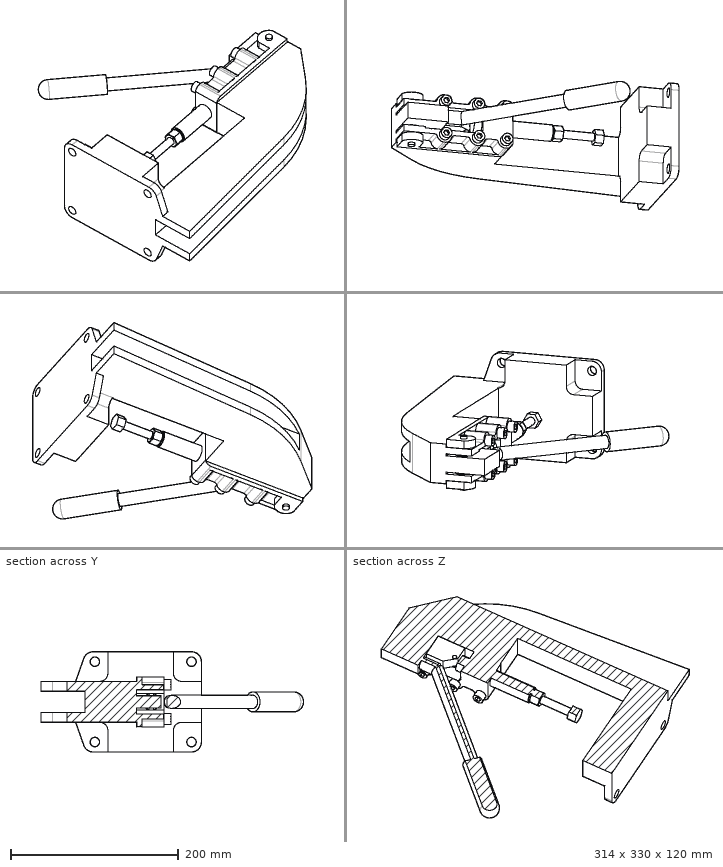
import cadquery as cq
import math


OVERLAP = 1.0

top_y = 330.0
head_bottom_y = 194.5
base_top_y = 40.0
flange_thickness = 10.0

frame_thickness = 49.0
frame_back_bottom_x = 132.0
frame_back_slope = math.radians(4.1)
frame_chamfer_top_x = 37.5
frame_back_radius = 150.0
throat_x = 60.0
back_slot_width = 25.0
back_slot_start_x = 79.5

base_left_x = -60.0
base_width = 120.0
block_left_x = -26.5
block_right_x = 52.0
block_fillet = 9.5
flange_corner_x = 78.0
flange_neck_x = 90.5
flange_corner_radius = 12.0
mount_hole_diameter = 11.0
mount_hole_xs = (base_left_x + flange_corner_radius, 67.5)
mount_hole_z = base_width / 2 - flange_corner_radius

bracket_front_x = -15.0
bracket_bottom_y = 194.0
bracket_back_x = 17.5
bracket_body_thickness = 41.0
bracket_width = 60.0
rear_lip_x = 11.0
lip_top_y = top_y - 1.0

pivot_x = 0.0
pivot_y = 316.0
pivot_pin_radius = 4.0
pivot_pin_length = 66.0
ear_radius = 14.0
ear_half_height = lip_top_y - pivot_y
pivot_hub_radius = 10.0

bolt_ys = (279.0, 238.0, 203.0)
bolt_z = bracket_body_thickness / 2
boss_radius = 9.6
boss_foot_half_width = 12.6
bolt_head_diameter = 13.0
bolt_head_height = 8.5
bolt_socket_flats = 6.0
bolt_socket_depth = 4.0

channel_bottom_y = 231.0
channel_width = 28.5
channel_end_chamfer_y = 3.0
channel_end_width = 19.6
ear_channel_width = 24.8

lever_front_x = -32.0
lever_bottom_y = 279.5
lever_thickness = 20.0
link_front_x = -12.0
link_thickness = 15.0
link_taper_y = 257.0
link_bottom_y = 243.0
upper_link_pin_y = 288.0
upper_link_pin_radius = 4.0
upper_link_pin_length = 22.0
lower_link_pin_y = 247.5
lower_link_pin_radius = 2.6
lower_link_pin_length = 20.0
rod_radius = 8.0
rod_bend_x = -21.5
rod_bend_y = 259.5
handle_angle = math.radians(45.9)
handle_length = 213.4
grip_length = 70.0
grip_radius = 12.0

ram_radius = 10.0
ram_top_y = 240.5
ram_bottom_y = 142.0
collar_height = 1.5
collar_radius = 8.5
screw_radius = 4.9
hex_corner_diameter = 19.4
nut_bottom_y = 128.5
nut_chamfer_height = 1.0
nut_chamfer_width = 1.7
screw_head_top_y = 89.0
screw_head_bottom_y = 78.3


def centred_box(x_range, y_range, thickness):
    """Axis-aligned box between limits in X and Y, centred on the Z = 0 plane."""
    size_x = x_range[1] - x_range[0]
    size_y = y_range[1] - y_range[0]
    block = cq.Workplane("XY").box(size_x, size_y, thickness, centered=(False, False, True))
    return block.translate((x_range[0], y_range[0], 0))


def y_plane(x, y, z):
    """Work plane at the given point facing -Y, with its local axes along X and Z."""
    return cq.Workplane("XZ", origin=(x, y, z))


def y_cylinder(radius, bottom_y, upper_y, x=0.0):
    """Cylinder about an axis parallel to Y in the Z = 0 plane."""
    return y_plane(x, upper_y, 0).circle(radius).extrude(upper_y - bottom_y)


def z_cylinder(radius, x, y, length):
    """Cylinder parallel to Z, centred on the Z = 0 plane."""
    return cq.Workplane("XY").center(x, y).circle(radius).extrude(length / 2, both=True)


def back_x(y):
    """X of the sloping back face at height y."""
    return frame_back_bottom_x - y * math.tan(frame_back_slope)


def make_frame():
    """C-shaped frame plate, before its back slot is cut."""
    slope = math.tan(frame_back_slope)
    corner_y = (frame_chamfer_top_x + top_y - frame_back_bottom_x) / (1 - slope)
    corner_x = back_x(corner_y)
    turn = math.pi / 4 - frame_back_slope
    tangent = frame_back_radius * math.tan(turn / 2)
    arc_start = (
        corner_x + tangent * math.sin(frame_back_slope),
        corner_y - tangent * math.cos(frame_back_slope),
    )
    arc_end = (corner_x - tangent * math.sqrt(0.5), corner_y + tangent * math.sqrt(0.5))
    corner_gap = frame_back_radius / math.cos(turn / 2) - frame_back_radius
    middle_angle = (math.pi / 4 + frame_back_slope) / 2
    arc_middle = (
        corner_x - corner_gap * math.cos(middle_angle),
        corner_y - corner_gap * math.sin(middle_angle),
    )
    outline = (
        cq.Workplane("XY")
        .moveTo(base_left_x, 0)
        .lineTo(frame_back_bottom_x, 0)
        .lineTo(*arc_start)
        .threePointArc(arc_middle, arc_end)
        .lineTo(frame_chamfer_top_x, top_y)
        .lineTo(bracket_back_x, top_y)
        .lineTo(bracket_back_x, head_bottom_y)
        .lineTo(throat_x, head_bottom_y)
        .lineTo(throat_x, base_top_y)
        .lineTo(base_left_x, base_top_y)
        .close()
    )
    return outline.extrude(frame_thickness / 2, both=True)


def make_base_block():
    """Wide block across the base, blended into the frame sides."""
    frame_z = frame_thickness / 2
    block = centred_box((block_left_x, block_right_x), (0, base_top_y), base_width)
    for side_x, outward in ((block_left_x, -1), (block_right_x, 1)):
        for side_z in (-1, 1):
            foot_z = side_z * frame_z
            blend = (
                y_plane(side_x, base_top_y, 0)
                .moveTo(-outward * OVERLAP, foot_z - side_z * OVERLAP)
                .lineTo(outward * block_fillet, foot_z - side_z * OVERLAP)
                .lineTo(outward * block_fillet, foot_z)
                .radiusArc((0, foot_z + side_z * block_fillet), outward * side_z * block_fillet)
                .lineTo(-outward * OVERLAP, foot_z + side_z * block_fillet)
                .close()
                .extrude(base_top_y)
            )
            block = block.union(blend)
    return block


def make_flange():
    """Mounting flange with rounded corners, narrowing to the frame at the back."""
    half_width = base_width / 2
    neck_z = frame_thickness / 2
    outline = [
        (base_left_x, -half_width),
        (flange_corner_x, -half_width),
        (flange_neck_x, -neck_z),
        (flange_neck_x, neck_z),
        (flange_corner_x, half_width),
        (base_left_x, half_width),
    ]
    corners = cq.selectors.BoxSelector(
        (base_left_x - OVERLAP, -OVERLAP, -half_width - OVERLAP),
        (flange_corner_x + OVERLAP, flange_thickness + OVERLAP, half_width + OVERLAP),
    )
    flange = y_plane(0, flange_thickness, 0).polyline(outline).close().extrude(flange_thickness)
    return flange.edges("|Y").edges(corners).fillet(flange_corner_radius)


def make_mount_holes():
    """Cutters for the four mounting holes, through the whole base."""
    points = [(x, side * mount_hole_z) for x in mount_hole_xs for side in (-1, 1)]
    return (
        y_plane(0, base_top_y, 0)
        .pushPoints(points)
        .circle(mount_hole_diameter / 2)
        .extrude(base_top_y)
    )


def make_boss(bolt_y):
    """Pair of rounded bosses over one bolt row, blended into the body by tangent fillets."""
    foot = boss_foot_half_width
    fillet_radius = (foot**2 - boss_radius**2) / (2 * boss_radius)
    tangent_share = boss_radius / (boss_radius + fillet_radius)
    tangent_y = foot * tangent_share
    tangent_z = fillet_radius * tangent_share
    half = (
        cq.Workplane("YZ", origin=(bracket_front_x, bolt_y, bolt_z))
        .moveTo(-foot, -OVERLAP)
        .lineTo(-foot, 0)
        .radiusArc((-tangent_y, tangent_z), -fillet_radius)
        .threePointArc((0, boss_radius), (tangent_y, tangent_z))
        .radiusArc((foot, 0), -fillet_radius)
        .lineTo(foot, -OVERLAP)
        .close()
        .extrude(bracket_back_x - bracket_front_x)
    )
    return half.union(half.mirror("XY"))


def make_ears():
    """Rounded ears around the pivot pin, running back to the rear lip."""
    disc = z_cylinder(ear_radius, pivot_x, pivot_y, bracket_width)
    arm = centred_box((pivot_x, bracket_back_x), (pivot_y - ear_radius, top_y), bracket_width)
    band = centred_box(
        (bracket_front_x, bracket_back_x),
        (pivot_y - ear_half_height, pivot_y + ear_half_height),
        bracket_width,
    )
    return disc.union(arm).intersect(band)


def make_bracket():
    """Bracket body, rear lips, ears and bosses; the last bosses round the bottom corners."""
    x_range = (bracket_front_x, bracket_back_x)
    y_range = (bracket_bottom_y, top_y)
    body = centred_box(x_range, y_range, bracket_body_thickness)
    lips = centred_box((rear_lip_x, bracket_back_x), (bolt_ys[-1], lip_top_y), bracket_width)
    bracket = body.union(lips).union(make_ears())
    for bolt_y in bolt_ys:
        bracket = bracket.union(make_boss(bolt_y))
    envelope = centred_box(x_range, y_range, bracket_width)
    return bracket.intersect(envelope).cut(make_channel())


def make_channel():
    """Cutter for the channel: narrow between the ears, with a tapered bottom end."""
    half_width = channel_width / 2
    half_end = channel_end_width / 2
    half_ear = ear_channel_width / 2
    ear_bottom_y = pivot_y - ear_half_height
    taper_y = channel_bottom_y + channel_end_chamfer_y
    outline = [
        (channel_bottom_y, -half_end),
        (taper_y, -half_width),
        (ear_bottom_y, -half_width),
        (ear_bottom_y, -half_ear),
        (top_y, -half_ear),
        (top_y, half_ear),
        (ear_bottom_y, half_ear),
        (ear_bottom_y, half_width),
        (taper_y, half_width),
        (channel_bottom_y, half_end),
    ]
    return (
        cq.Workplane("YZ", origin=(bracket_front_x, 0, 0))
        .polyline(outline)
        .close()
        .extrude(bracket_back_x - bracket_front_x)
    )


def make_bolt_heads():
    """Socket heads of the six bracket bolts."""
    points = [(y, side * bolt_z) for y in bolt_ys for side in (-1, 1)]
    head_plane = cq.Workplane("YZ", origin=(bracket_front_x - bolt_head_height, 0, 0))
    socket_corner_diameter = bolt_socket_flats / math.cos(math.pi / 6)
    heads = head_plane.pushPoints(points).circle(bolt_head_diameter / 2).extrude(bolt_head_height)
    sockets = (
        head_plane.pushPoints(points).polygon(6, socket_corner_diameter).extrude(bolt_socket_depth)
    )
    return heads.cut(sockets)


def make_link():
    """Link between the lever block and the ram, tapered towards its lower pin."""
    outline = [
        (link_front_x, lever_bottom_y),
        (link_front_x, link_taper_y),
        (pivot_x, link_bottom_y),
        (bracket_back_x, link_bottom_y),
        (bracket_back_x, lever_bottom_y),
    ]
    link = cq.Workplane("XY").polyline(outline).close().extrude(link_thickness / 2, both=True)
    pin = z_cylinder(lower_link_pin_radius, pivot_x, lower_link_pin_y, lower_link_pin_length)
    return link.union(pin)


def make_lever():
    """Lever block with its pivot hub, pivot pin and upper link pin."""
    lever = centred_box((lever_front_x, bracket_back_x), (lever_bottom_y, top_y), lever_thickness)
    hub = z_cylinder(pivot_hub_radius, pivot_x, pivot_y, ear_channel_width)
    pivot_pin = z_cylinder(pivot_pin_radius, pivot_x, pivot_y, pivot_pin_length)
    link_pin = z_cylinder(upper_link_pin_radius, pivot_x, upper_link_pin_y, upper_link_pin_length)
    return lever.union(hub).union(pivot_pin).union(link_pin)


def make_handle():
    """Bent round handle with a ball-ended grip."""
    stub = y_cylinder(rod_radius, rod_bend_y, lever_bottom_y + OVERLAP, rod_bend_x)
    direction = cq.Vector(-math.cos(handle_angle), -math.sin(handle_angle), 0)
    bend = cq.Vector(rod_bend_x, rod_bend_y, 0)
    grip_start = bend + direction * (handle_length - grip_length)
    ball_centre = bend + direction * handle_length
    rod = cq.Solid.makeCylinder(rod_radius, handle_length, bend, direction)
    grip = cq.Solid.makeCylinder(grip_radius, grip_length, grip_start, direction)
    ball = cq.Workplane("XY").sphere(grip_radius).translate(ball_centre.toTuple())
    return stub.union(cq.Workplane(rod)).union(cq.Workplane(grip)).union(ball)


def hexagon(bottom_y, upper_y):
    """Hexagonal prism about the ram axis, with corners towards -X and +X."""
    return y_plane(0, upper_y, 0).polygon(6, hex_corner_diameter).extrude(upper_y - bottom_y)


def make_ram():
    """Ram, collar, lock nut chamfered at both ends, and adjusting screw with a hex head."""
    ram = y_cylinder(ram_radius, ram_bottom_y, ram_top_y)
    nut_top_y = ram_bottom_y - collar_height
    collar = y_cylinder(collar_radius, nut_top_y, ram_bottom_y)
    nut_envelope = (
        y_cylinder(hex_corner_diameter / 2, nut_bottom_y, nut_top_y)
        .faces("<Y or >Y")
        .chamfer(nut_chamfer_height, nut_chamfer_width)
    )
    nut = hexagon(nut_bottom_y, nut_top_y).intersect(nut_envelope)
    screw = y_cylinder(screw_radius, screw_head_top_y, nut_bottom_y)
    head = hexagon(screw_head_bottom_y, screw_head_top_y)
    return ram.union(collar).union(nut).union(screw).union(head)


def make_back_slot():
    """Cutter for the slot that forks the back of the frame over its full height."""
    return centred_box((back_slot_start_x, frame_back_bottom_x), (0, top_y), back_slot_width)


base = make_frame().union(make_base_block()).union(make_flange())
base = base.cut(make_mount_holes()).cut(make_back_slot())
result = (
    base.union(make_bracket())
    .union(make_bolt_heads())
    .union(make_lever())
    .union(make_link())
    .union(make_handle())
    .union(make_ram())
)